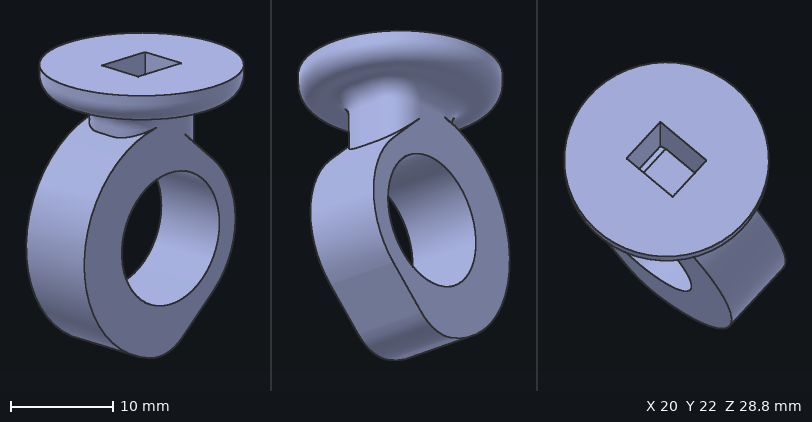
import cadquery as cq
import math

overall_height = 28.78

disc_diameter = 20.0
disc_radius = disc_diameter / 2
disc_thickness = 0.15 * disc_diameter
disc_edge_radius = 0.1 * disc_diameter

neck_width = 0.4 * disc_diameter
neck_length = 0.5 * disc_diameter
neck_corner_radius = 0.15 * disc_diameter
flare_radius = 0.1 * disc_diameter

ring_width = neck_width
bore_radius = 6.75
front_radius = 0.6 * disc_diameter
back_radius = 0.45 * disc_diameter
ring_corner_radius = 0.25 * disc_diameter

flank_angle = math.acos(back_radius / front_radius)

corner_center_radius = front_radius - ring_corner_radius
corner_lean = math.acos((back_radius - ring_corner_radius) / corner_center_radius) - flank_angle
ring_drop = corner_center_radius * math.cos(corner_lean) + ring_corner_radius
bore_axis_z = ring_drop - overall_height

pocket_width = 0.25 * disc_diameter
pocket_length = 0.3 * disc_diameter
pocket_depth = 0.35 * disc_diameter
flank_slope = math.tan(flank_angle)


def make_disc():
    disc = cq.Workplane("XY").circle(disc_radius).extrude(-disc_thickness)
    return disc.faces("<Z").edges().fillet(disc_edge_radius)


def make_neck():
    """Straight neck reaching down into the ring, level with the bore axis."""
    neck = cq.Workplane("XY").workplane(offset=-disc_thickness)
    neck = neck.rect(neck_width, neck_length).extrude(bore_axis_z + disc_thickness)
    return neck.edges("|Z").fillet(neck_corner_radius)


def make_ring():
    """Half disc at the front, joined to the back arc by two tangent lines."""
    touch_y = back_radius * math.sin(flank_angle)
    touch_z = back_radius * math.cos(flank_angle)
    ring = (
        cq.Workplane("YZ", origin=(-ring_width / 2, 0, bore_axis_z))
        .moveTo(0, front_radius)
        .threePointArc((-front_radius, 0), (0, -front_radius))
        .lineTo(touch_y, -touch_z)
        .threePointArc((back_radius, 0), (touch_y, touch_z))
        .close()
        .extrude(ring_width)
    )
    bottom_corner = cq.selectors.NearestToPointSelector((0, 0, bore_axis_z - front_radius))
    return ring.edges("|X").edges(bottom_corner).fillet(ring_corner_radius)


def make_bore():
    return (
        cq.Workplane("YZ", origin=(-ring_width / 2, 0, bore_axis_z))
        .circle(bore_radius)
        .extrude(ring_width)
    )


def make_pocket():
    half_length = pocket_length / 2
    ring_peak_z = bore_axis_z + front_radius
    drop_start_y = (ring_peak_z + pocket_depth) / flank_slope
    drop_end_z = ring_peak_z - half_length * flank_slope
    return (
        cq.Workplane("YZ", origin=(-pocket_width / 2, 0, 0))
        .moveTo(-half_length, 0)
        .lineTo(-half_length, -pocket_depth)
        .lineTo(drop_start_y, -pocket_depth)
        .lineTo(half_length, drop_end_z)
        .lineTo(half_length, 0)
        .close()
        .extrude(pocket_width)
    )


def make_head():
    """Disc and neck, with a flare around the joint on the disc's underside."""
    margin = 0.03
    joint_zone = cq.selectors.BoxSelector(
        (-neck_width / 2 - margin, -neck_length / 2 - margin, -disc_thickness - margin),
        (neck_width / 2 + margin, neck_length / 2 + margin, -disc_thickness + margin),
        boundingbox=True,
    )
    return make_disc().union(make_neck()).edges(joint_zone).fillet(flare_radius)


result = make_head().union(make_ring()).cut(make_bore()).cut(make_pocket())